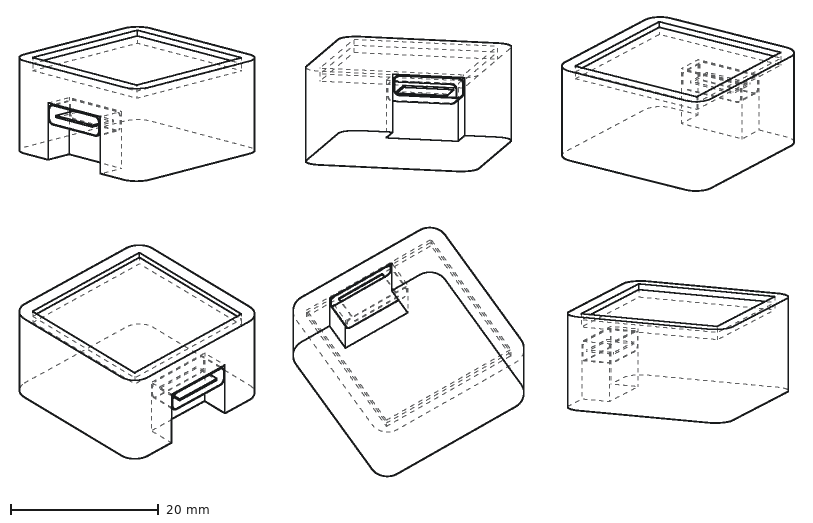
import cadquery as cq

housing_side = 24.0
housing_height = 13.0
corner_radius = 2.5
front_y = -housing_side / 2

rim_width = 2.0
recess_side = housing_side - 2 * rim_width
panel_drop = 0.8
panel_thickness = 1.0
recess_depth = panel_drop + panel_thickness

notch_width = 10.0
notch_height = 8.0
notch_depth = 4.0

shell_width = 9.7
shell_height = 2.8
shell_wall = 0.1
shell_corner_radius = 0.8
shell_center_z = 6.5

tongue_width = 7.0
tongue_thickness = 0.25
tongue_center_z = 6.375


def front_bar(width, height, center_z):
    """Bar running from the front face back to the end wall of the notch."""
    bar = cq.Workplane("XY").box(width, notch_depth, height, centered=(True, False, True))
    return bar.translate((0, front_y, center_z))


def make_housing():
    block = cq.Workplane("XY").box(housing_side, housing_side, housing_height, centered=(True, True, False))
    block = block.edges("|Z").fillet(corner_radius)
    recess = (
        cq.Workplane("XY")
        .workplane(offset=housing_height - recess_depth)
        .rect(recess_side, recess_side)
        .extrude(recess_depth)
    )
    notch = front_bar(notch_width, notch_height, notch_height / 2)
    return block.cut(recess).cut(notch)


def make_panel():
    return (
        cq.Workplane("XY")
        .workplane(offset=housing_height - recess_depth)
        .rect(recess_side, recess_side)
        .extrude(panel_thickness)
    )


def make_shell():
    outside = front_bar(shell_width, shell_height, shell_center_z)
    outside = outside.edges("|Y").fillet(shell_corner_radius)
    inside = front_bar(shell_width - 2 * shell_wall, shell_height - 2 * shell_wall, shell_center_z)
    inside = inside.edges("|Y").fillet(shell_corner_radius - shell_wall)
    return outside.cut(inside)


def make_tongue():
    return front_bar(tongue_width, tongue_thickness, tongue_center_z)


housing = make_housing()
panel = make_panel()
shell = make_shell()
tongue = make_tongue()

result = cq.Compound.makeCompound([housing.val(), panel.val(), shell.val(), tongue.val()])